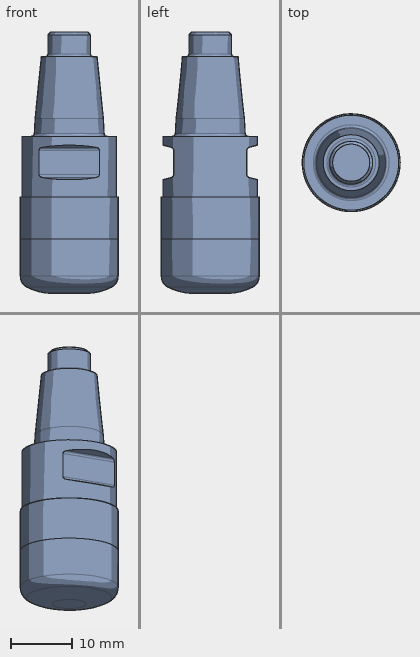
import cadquery as cq
import math

total_height = 42.7

cap_radius = 16.0 / 2
cap_height = 8.92
corner_radius = 2.0
corner_height = 2.8
dome_radius = 8.95

collar_top = 15.75
neck_radius = 15.5 / 2
neck_top = 25.65
taper_bottom_radius = 5.72
taper_bend_z = 28.52
taper_bend_radius = 5.6
taper_top_radius = 4.55
taper_top = 38.65
pilot_radius = 7.0 / 2
pilot_chamfer = 0.45
root_fillet = 0.45

flat_offset = 5.98
flat_center_z = 21.4
flat_half_height = 2.35
flat_wall_angle = 15.0
flat_corner_radius = 0.5


def make_cap():
    """Cap with a flat end, a shallow arc and a tighter corner arc, all tangent."""
    corner_x = cap_radius - corner_radius
    center_drop = dome_radius - corner_height
    end_radius = corner_x - math.sqrt((dome_radius - corner_radius) ** 2 - center_drop**2)
    joint_angle = math.atan2(corner_x - end_radius, center_drop)

    def arc_point(center_x, center_z, radius, angle):
        """Point on an arc at an angle measured outwards from straight down."""
        return center_x + radius * math.sin(angle), center_z - radius * math.cos(angle)

    dome_middle = arc_point(end_radius, dome_radius, dome_radius, joint_angle / 2)
    joint = arc_point(end_radius, dome_radius, dome_radius, joint_angle)
    corner_middle_angle = (joint_angle + math.pi / 2) / 2
    corner_middle = arc_point(corner_x, corner_height, corner_radius, corner_middle_angle)
    return (
        cq.Workplane("XZ")
        .moveTo(0, 0)
        .lineTo(end_radius, 0)
        .threePointArc(dome_middle, joint)
        .threePointArc(corner_middle, (cap_radius, corner_height))
        .lineTo(cap_radius, cap_height)
        .lineTo(0, cap_height)
        .close()
        .revolve(360, (0, 0), (0, 1))
    )


def make_shank_blank():
    """Turned shank, before the wrench flats are cut."""
    taper_foot_z = neck_top + root_fillet
    pilot_foot_z = taper_top + root_fillet
    taper_direction = (taper_top_radius - taper_bend_radius, taper_top - taper_bend_z)
    return (
        cq.Workplane("XZ")
        .moveTo(0, cap_height)
        .lineTo(cap_radius, cap_height)
        .lineTo(cap_radius, collar_top)
        .lineTo(neck_radius, collar_top)
        .lineTo(neck_radius, neck_top)
        .lineTo(taper_bottom_radius + root_fillet, neck_top)
        .radiusArc((taper_bottom_radius, taper_foot_z), root_fillet)
        .spline(
            [(taper_bend_radius, taper_bend_z)],
            tangents=[(0, 1), taper_direction],
            includeCurrent=True,
        )
        .lineTo(taper_top_radius, taper_top)
        .lineTo(pilot_radius + root_fillet, taper_top)
        .radiusArc((pilot_radius, pilot_foot_z), root_fillet)
        .lineTo(pilot_radius, total_height - pilot_chamfer)
        .lineTo(pilot_radius - pilot_chamfer, total_height)
        .lineTo(0, total_height)
        .close()
        .revolve(360, (0, 0), (0, 1))
    )


def make_flat_cutter(side):
    """Trapezoidal bar along X that cuts the flat on one side of Y (-1 or +1)."""
    cut_depth = cap_radius - flat_offset
    mouth_half_height = flat_half_height + cut_depth * math.tan(math.radians(flat_wall_angle))
    floor_y = side * flat_offset
    mouth_y = side * cap_radius
    floor_edges = cq.selectors.BoxSelector(
        (-cap_radius, floor_y - cut_depth / 2, 0),
        (cap_radius, floor_y + cut_depth / 2, total_height),
    )
    return (
        cq.Workplane("YZ")
        .polyline(
            [
                (mouth_y, flat_center_z - mouth_half_height),
                (floor_y, flat_center_z - flat_half_height),
                (floor_y, flat_center_z + flat_half_height),
                (mouth_y, flat_center_z + mouth_half_height),
            ]
        )
        .close()
        .extrude(cap_radius, both=True)
        .edges("|X")
        .edges(floor_edges)
        .fillet(flat_corner_radius)
    )


def make_shank():
    """Shank with a wrench flat on each side of the neck."""
    body = make_shank_blank()
    for side in (-1, 1):
        body = body.cut(make_flat_cutter(side))
    return body


cap = make_cap()
shank = make_shank()

result = cq.Compound.makeCompound([*cap.solids().vals(), *shank.solids().vals()])